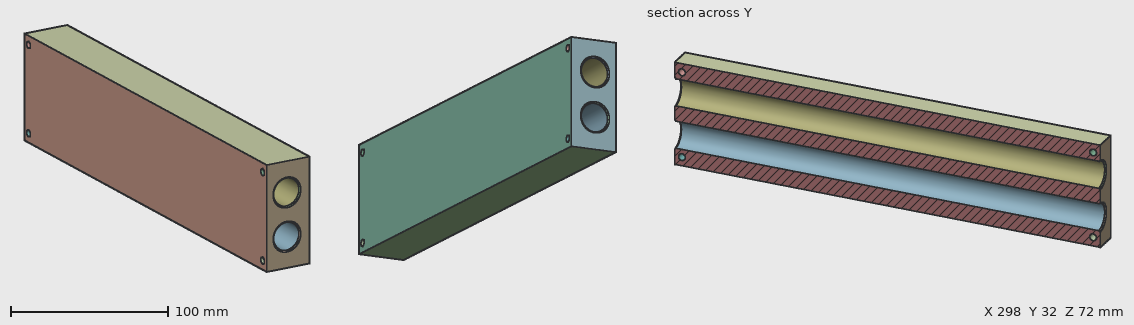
import cadquery as cq

length = 298.0
thickness = 32.0
height = 72.0

bore_diameter = 18.8
bore_spacing = 29.8
bore_offset_y = -1.0
bore_chamfer = 1.0

mount_diameter = 4.5
mount_inset_x = 5.0
mount_inset_z = 6.3


def bore(center_z):
    """Through bore along X with a chamfered mouth at each end."""
    axis_plane = cq.Workplane("YZ", origin=(-length / 2, bore_offset_y, center_z))
    bore_radius = bore_diameter / 2
    mouth_radius = bore_radius + bore_chamfer
    cutter = axis_plane.circle(bore_radius).extrude(length)
    left_mouth = cq.Solid.makeCone(
        mouth_radius,
        bore_radius,
        bore_chamfer,
        pnt=cq.Vector(-length / 2, bore_offset_y, center_z),
        dir=cq.Vector(1, 0, 0),
    )
    right_mouth = left_mouth.mirror("YZ")
    return cutter.union(cq.Workplane(left_mouth)).union(cq.Workplane(right_mouth))


result = cq.Workplane("XZ").box(length, height, thickness)

for side in (-1, 1):
    result = result.cut(bore(side * bore_spacing / 2))

mount_holes = (
    cq.Workplane("XZ")
    .rect(length - 2 * mount_inset_x, height - 2 * mount_inset_z, forConstruction=True)
    .vertices()
    .circle(mount_diameter / 2)
    .extrude(thickness / 2, both=True)
)
result = result.cut(mount_holes)